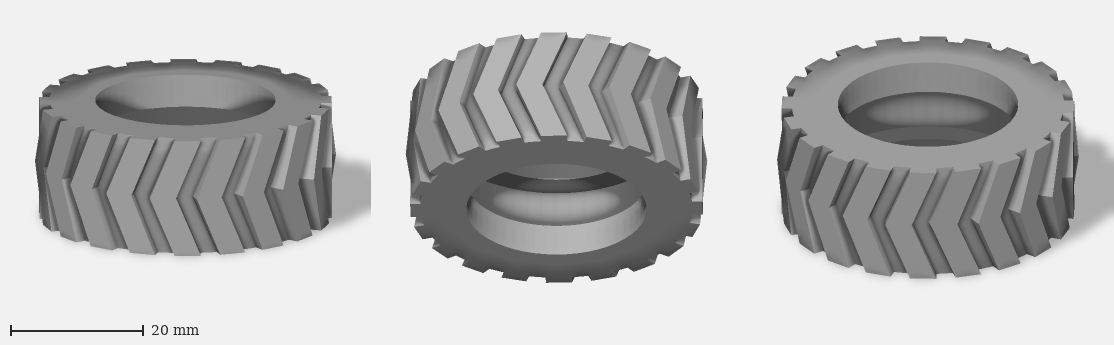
import cadquery as cq

width = 18.0
core_radius = 20.5
bore_diameter = 27.2

seat_diameter = 35.2
lip_width = 5.0

block_count = 20
block_length = 3.95
chevron_shift = 3.7
tread_face_distance = 22.0
root_distance = 19.05


def tyre_core():
    """Plain cylinder that carries the tread, standing on the XY plane."""
    return cq.Workplane("XY").circle(core_radius).extrude(width)


def tread_block():
    """Chevron block on the -Y side, with its tip pointing toward -X."""
    half = block_length / 2
    outline = [
        (-half, 0),
        (half, 0),
        (half - chevron_shift, width / 2),
        (half, width),
        (-half, width),
        (-half - chevron_shift, width / 2),
    ]
    return (
        cq.Workplane("XZ", origin=(0, -root_distance, 0))
        .polyline(outline)
        .close()
        .extrude(tread_face_distance - root_distance)
    )


def bore_cutter():
    """Through bore together with the wider rim seat at mid width."""
    bore = cq.Workplane("XY").circle(bore_diameter / 2).extrude(width)
    seat = (
        cq.Workplane("XY", origin=(0, 0, lip_width))
        .circle(seat_diameter / 2)
        .extrude(width - 2 * lip_width)
    )
    return bore.union(seat)


tyre = tyre_core()
block = tread_block()
for index in range(block_count):
    angle = index * 360 / block_count
    tyre = tyre.union(block.rotate((0, 0, 0), (0, 0, 1), angle))

result = tyre.cut(bore_cutter())